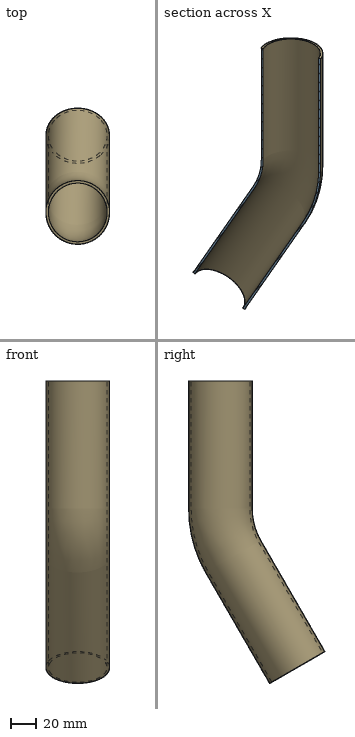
import cadquery as cq
import math

total_height = 240.5
outer_diameter = 50.7
inner_diameter = 46.6
bend_radius = 76.2
bend_angle = 30.0

outer_radius = outer_diameter / 2
bend_sine = math.sin(math.radians(bend_angle))
bend_cosine = math.cos(math.radians(bend_angle))

leg_length = (total_height - (bend_radius + outer_radius) * bend_sine) / (1 + bend_cosine)


def point_on_bend(angle):
    """Centreline point (Y, Z) after turning by angle degrees; the bend starts at the origin."""
    turn = math.radians(angle)
    return bend_radius * (1 - math.cos(turn)), -bend_radius * math.sin(turn)


bend_middle = point_on_bend(bend_angle / 2)
bend_end = point_on_bend(bend_angle)
lower_end = (
    bend_end[0] + leg_length * bend_sine,
    bend_end[1] - leg_length * bend_cosine,
)
centreline = (
    cq.Workplane("YZ")
    .moveTo(0, leg_length)
    .lineTo(0, 0)
    .threePointArc(bend_middle, bend_end)
    .lineTo(*lower_end)
)

result = (
    cq.Workplane("XY", origin=(0, 0, leg_length))
    .circle(outer_radius)
    .circle(inner_diameter / 2)
    .sweep(centreline)
)